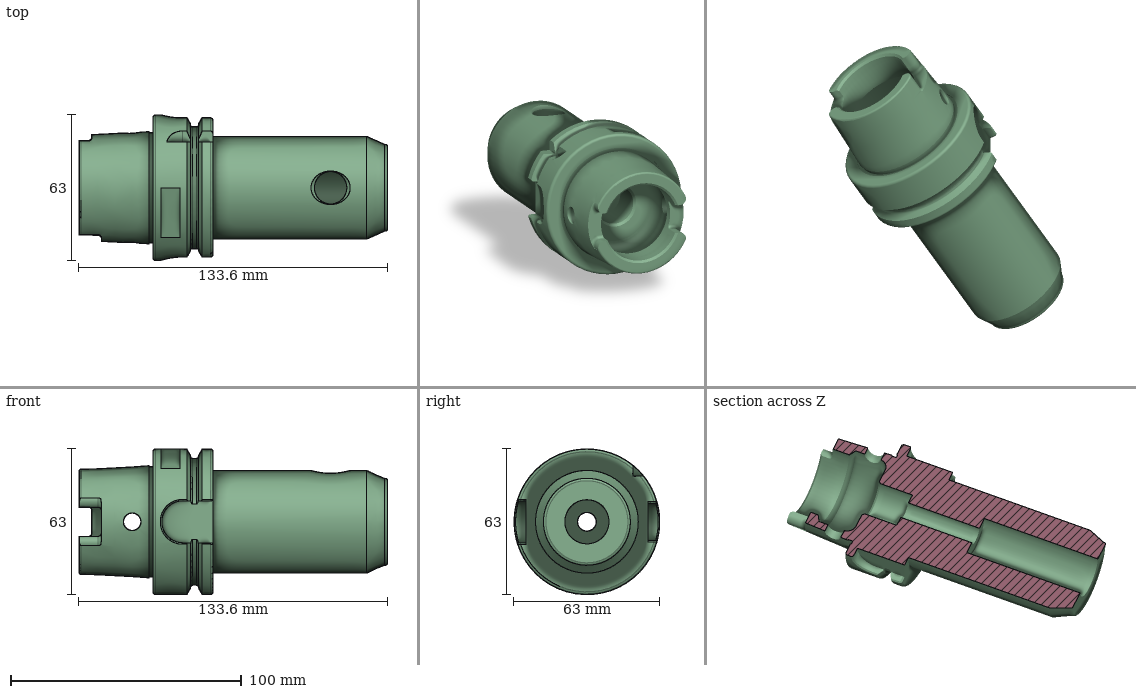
import cadquery as cq
import math


total_length = 133.6
flange_start = 31.9
flange_end = 58.0
groove_center = 50.0

taper_front_radius = 22.7
taper_rear_radius = 24.3
taper_end = 30.3
taper_nose_round = 0.8
neck_radius = 23.9
face_relief_radius = 25.4
face_relief_depth = 0.4

flange_radius = 63.0 / 2
flange_round = 1.2
groove_mouth_half = 3.3
groove_wall_half = 1.7
groove_root_radius = 27.5
groove_root_round = 1.0
groove_flank_angle = 30.0

body_radius = 44.5 / 2
nose_start = 124.5
nose_end = 132.1
nose_end_radius = 18.8
nose_round = 1.1
tool_bore_diameter = 19.1
tool_bore_depth = 53.5

cavity_mouth_radius = 34.0 / 2
cavity_mouth_chamfer = 1.0
clamp_shoulder_start = 13.2
clamp_shoulder_angle = 30.0
cavity_radius = 40.0 / 2
cavity_floor = 30.5
cavity_floor_round = 4.0

coolant_socket_diameter = 17.0
coolant_socket_mouth_diameter = 19.0
coolant_socket_depth = 16.0
coolant_hole_diameter = 8.0

drive_slot_half_width = 6.3
drive_slot_depth_front = 9.6
drive_slot_depth_back = 5.5
drive_slot_floor_round = 1.3
tooth_edge_round = 2.8

access_hole_diameter = 7.5
access_hole_x = 23.0

keyway_floor = 26.5
front_keyway_half_width = 9.1
front_keyway_start = 35.8
back_keyway_half_width = 8.0
back_keyway_start = 36.3
keyway_edge_chamfer = 0.7
notch_floor_y = 19.9
notch_bottom_z = 19.8
notch_radius = 14.3 / 2
notch_start = 37.5

flat_start = 35.4
flat_length = 8.3
flat_span_angle = 43.0

screw_x = 108.9
screw_diameter = 14.0
screw_mouth_diameter = 17.0

clearance = 6.7


def revolve_profile(profile):
    """Turn a closed (x, radius) profile about the X axis."""
    return profile.close().revolve(360, (0, 0, 0), (1, 0, 0))


def axial_cylinder(diameter, start, end):
    return cq.Workplane("YZ").workplane(offset=start).circle(diameter / 2).extrude(end - start)


def taper_shank():
    relief_end = flange_start + face_relief_depth
    shank = revolve_profile(
        cq.Workplane("XY")
        .lineTo(0, taper_front_radius)
        .lineTo(taper_end, taper_rear_radius)
        .lineTo(taper_end, neck_radius)
        .lineTo(relief_end, neck_radius)
        .lineTo(relief_end, 0)
    )
    return shank.faces("<X").edges().fillet(taper_nose_round)


def flange():
    disc = axial_cylinder(2 * flange_radius, flange_start, flange_end).edges().fillet(flange_round)
    relief = axial_cylinder(2 * face_relief_radius, flange_start, flange_start + face_relief_depth)
    return disc.cut(relief)


def tool_end():
    nose = revolve_profile(
        cq.Workplane("XY")
        .moveTo(flange_start + face_relief_depth, 0)
        .lineTo(flange_start + face_relief_depth, body_radius)
        .lineTo(nose_start, body_radius)
        .lineTo(nose_end, nose_end_radius)
        .lineTo(total_length, nose_end_radius)
        .lineTo(total_length, 0)
    )
    return nose.faces(">X").edges().fillet(nose_round)


def keyway(side, half_width, start):
    """Round-ended slot on the -Y (side = -1) or +Y (side = 1) rim, open at the tool end."""
    arc_x = start + half_width
    depth = flange_radius - keyway_floor + clearance
    return (
        cq.Workplane("XZ", origin=(0, side * keyway_floor, 0))
        .moveTo(flange_end, -half_width)
        .lineTo(arc_x, -half_width)
        .threePointArc((start, 0), (arc_x, half_width))
        .lineTo(flange_end, half_width)
        .close()
        .extrude(-side * depth)
    )


def orientation_notch():
    center_x = notch_start + notch_radius
    center_z = notch_bottom_z + notch_radius
    return (
        cq.Workplane("XZ", origin=(0, notch_floor_y, 0))
        .moveTo(flange_end, notch_bottom_z)
        .lineTo(center_x, notch_bottom_z)
        .threePointArc((notch_start, center_z), (center_x, center_z + notch_radius))
        .lineTo(flange_end, center_z + notch_radius)
        .close()
        .extrude(-flange_radius)
    )


def gripper_groove():
    """Ring with 60 degree V flanks and a rounded root."""
    flank_rise = (groove_mouth_half - groove_wall_half) / math.tan(math.radians(groove_flank_angle))
    flank_foot = flange_radius - flank_rise
    round_top = groove_root_radius + groove_root_round
    root_half = groove_wall_half - groove_root_round
    round_mid = groove_root_round * (1 - math.sqrt(0.5))
    return revolve_profile(
        cq.Workplane("XY", origin=(groove_center, 0, 0))
        .moveTo(-groove_mouth_half, flange_radius + clearance)
        .lineTo(-groove_mouth_half, flange_radius)
        .lineTo(-groove_wall_half, flank_foot)
        .lineTo(-groove_wall_half, round_top)
        .threePointArc(
            (-groove_wall_half + round_mid, groove_root_radius + round_mid),
            (-root_half, groove_root_radius),
        )
        .lineTo(root_half, groove_root_radius)
        .threePointArc(
            (groove_wall_half - round_mid, groove_root_radius + round_mid),
            (groove_wall_half, round_top),
        )
        .lineTo(groove_wall_half, flank_foot)
        .lineTo(groove_mouth_half, flange_radius)
        .lineTo(groove_mouth_half, flange_radius + clearance)
    )


def rim_flat():
    """Segment cut by a chord of the rim that starts at the top (+Z) and runs toward -Y."""
    chord_depth = flange_radius * math.cos(math.radians(flat_span_angle / 2))
    block = cq.Workplane("XY").box(
        flat_length, 2 * flange_radius, clearance, centered=(False, True, False)
    )
    return block.translate((flat_start, 0, chord_depth)).rotate((0, 0, 0), (1, 0, 0), flat_span_angle / 2)


def drive_slot(side, depth):
    """Slot through the taper wall; its sides curve to round the outer edges of the drive teeth."""
    round_z = drive_slot_half_width + tooth_edge_round
    round_y = math.sqrt((taper_front_radius - tooth_edge_round) ** 2 - round_z**2)
    end_angle = math.atan2(round_z, round_y)
    mid_angle = (end_angle - math.pi / 2) / 2

    def on_round(angle):
        return (
            round_y + tooth_edge_round * math.cos(angle),
            round_z + tooth_edge_round * math.sin(angle),
        )

    end_y, end_z = on_round(end_angle)
    half = (
        cq.Workplane("YZ", origin=(-clearance, 0, 0))
        .lineTo(0, drive_slot_half_width)
        .lineTo(round_y, drive_slot_half_width)
        .threePointArc(on_round(mid_angle), (end_y, end_z))
        .lineTo(flange_radius, end_z)
        .lineTo(flange_radius, 0)
        .close()
        .extrude(depth + clearance)
    )
    slot = half.union(half.mirror("XY")).clean()
    slot = slot.faces(">X").edges().fillet(drive_slot_floor_round)
    return slot if side > 0 else slot.mirror("XZ")


def clamping_cavity():
    shoulder_length = (cavity_radius - cavity_mouth_radius) * math.tan(math.radians(clamp_shoulder_angle))
    cavity = revolve_profile(
        cq.Workplane("XY")
        .lineTo(0, cavity_mouth_radius + cavity_mouth_chamfer)
        .lineTo(cavity_mouth_chamfer, cavity_mouth_radius)
        .lineTo(clamp_shoulder_start, cavity_mouth_radius)
        .lineTo(clamp_shoulder_start + shoulder_length, cavity_radius)
        .lineTo(cavity_floor, cavity_radius)
        .lineTo(cavity_floor, 0)
    )
    return cavity.faces(">X").edges().fillet(cavity_floor_round)


def coolant_passage():
    socket_end = cavity_floor + coolant_socket_depth
    chamfer = (coolant_socket_mouth_diameter - coolant_socket_diameter) / 2
    socket = revolve_profile(
        cq.Workplane("XY")
        .moveTo(cavity_floor, 0)
        .lineTo(cavity_floor, coolant_socket_mouth_diameter / 2)
        .lineTo(cavity_floor + chamfer, coolant_socket_diameter / 2)
        .lineTo(socket_end, coolant_socket_diameter / 2)
        .lineTo(socket_end, 0)
    )
    return socket.union(axial_cylinder(coolant_hole_diameter, cavity_floor, total_length))


def screw_hole():
    """Radial hole from the top into the tool bore, with a 45 degree countersink."""
    hole_radius = screw_diameter / 2
    mouth_radius = screw_mouth_diameter / 2
    return (
        cq.Workplane("XZ")
        .lineTo(hole_radius, 0)
        .lineTo(hole_radius, body_radius - (mouth_radius - hole_radius))
        .lineTo(mouth_radius, body_radius)
        .lineTo(0, body_radius)
        .close()
        .revolve(360, (0, 0, 0), (0, 1, 0))
        .translate((screw_x, 0, 0))
    )


def access_hole():
    return (
        cq.Workplane("XZ")
        .center(access_hole_x, 0)
        .circle(access_hole_diameter / 2)
        .extrude(flange_radius, both=True)
    )


def flange_with_keyways():
    body = flange()
    for side, half_width, start in (
        (-1, front_keyway_half_width, front_keyway_start),
        (1, back_keyway_half_width, back_keyway_start),
    ):
        body = body.cut(keyway(side, half_width, start))
        rim_y = side * math.sqrt(flange_radius**2 - half_width**2)
        rim_x = (start + half_width + flange_end - flange_round) / 2
        rim_edge = cq.selectors.NearestToPointSelector((rim_x, rim_y, half_width))
        body = body.edges(rim_edge).chamfer(keyway_edge_chamfer)
    return body


holder = taper_shank().union(tool_end()).union(flange_with_keyways())
for cutter in (
    gripper_groove(),
    orientation_notch(),
    rim_flat(),
    clamping_cavity(),
    drive_slot(-1, drive_slot_depth_front),
    drive_slot(1, drive_slot_depth_back),
    access_hole(),
    coolant_passage(),
    axial_cylinder(tool_bore_diameter, total_length - tool_bore_depth, total_length),
    screw_hole(),
):
    holder = holder.cut(cutter)

result = cq.Workplane(holder.solids().val())